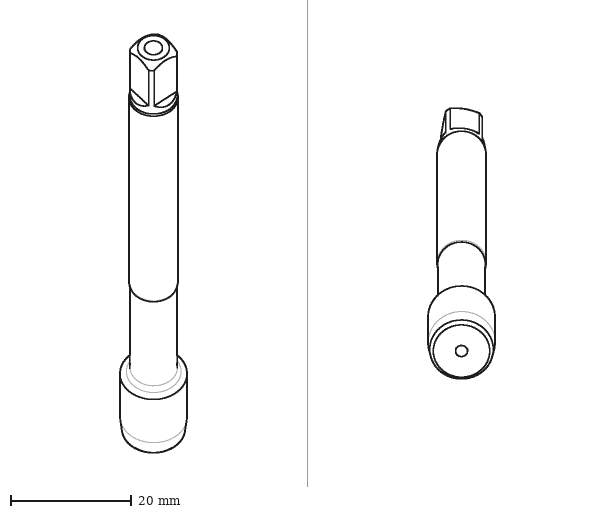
import cadquery as cq
import math

TOTAL_LENGTH = 100.0
JOINT_Z = 38.5

HEAD_DIAMETER = 11.2
LEAD_DIAMETER = 10.6
END_DIAMETER = 9.4
NECK_DIAMETER = 7.9
END_CHAMFER_HEIGHT = 0.7
LEAD_TOP_Z = 3.8
SHOULDER_Z = 15.0
SHOULDER_ANGLE = 30.0
NECK_FILLET_RADIUS = 1.2

SHANK_DIAMETER = 8.2
JOINT_CHAMFER_HEIGHT = 0.5
COLLAR_DIAMETER = 7.9
COLLAR_Z = 87.1
COLLAR_STEP_HEIGHT = 0.4
SQUARE_WIDTH = 6.2
SQUARE_Z = 89.6
FLAT_RUNOUT = 1.0
TIP_DIAMETER = 5.3
TIP_CHAMFER_HEIGHT = 1.2

BORE_DIAMETER = 2.0
SHANK_BORE_DIAMETER = 3.0


def revolve_profile(points):
    """Revolve (radius, z) points, closed along the axis, about Z."""
    bottom_z = points[0][1]
    top_z = points[-1][1]
    outline = [(0, bottom_z), *points, (0, top_z)]
    return cq.Workplane("XZ").polyline(outline).close().revolve(360, (0, 0, 0), (0, 1, 0))


def axial_bore(diameter, bottom_z, top_z):
    """Cylinder on the axis used to cut a passage."""
    return cq.Workplane("XY", origin=(0, 0, bottom_z)).circle(diameter / 2).extrude(top_z - bottom_z)


def make_head():
    """Cutting head, filleted up to its neck, with the narrow through passage."""
    head_radius = HEAD_DIAMETER / 2
    neck_radius = NECK_DIAMETER / 2
    slope = math.radians(SHOULDER_ANGLE)

    cone_end_radius = neck_radius + NECK_FILLET_RADIUS * (1 - math.sin(slope))
    cone_end_z = SHOULDER_Z + (head_radius - cone_end_radius) * math.tan(slope)
    neck_base_z = cone_end_z + NECK_FILLET_RADIUS * math.cos(slope)

    blank = (
        cq.Workplane("XZ")
        .moveTo(0, 0)
        .lineTo(END_DIAMETER / 2, 0)
        .lineTo(LEAD_DIAMETER / 2, END_CHAMFER_HEIGHT)
        .lineTo(head_radius, LEAD_TOP_Z)
        .lineTo(head_radius, SHOULDER_Z)
        .lineTo(cone_end_radius, cone_end_z)
        .radiusArc((neck_radius, neck_base_z), NECK_FILLET_RADIUS)
        .lineTo(neck_radius, JOINT_Z)
        .lineTo(0, JOINT_Z)
        .close()
        .revolve(360, (0, 0, 0), (0, 1, 0))
    )
    return blank.cut(axial_bore(BORE_DIAMETER, 0, JOINT_Z))


def drive_square():
    """Square prism whose lower end flares out to clear the round collar."""
    flare_width = SQUARE_WIDTH + 2 * FLAT_RUNOUT
    flare_base_z = SQUARE_Z - FLAT_RUNOUT
    flare = (
        cq.Workplane("XY", origin=(0, 0, flare_base_z))
        .rect(flare_width, flare_width)
        .workplane(offset=FLAT_RUNOUT)
        .rect(SQUARE_WIDTH, SQUARE_WIDTH)
        .loft(ruled=True)
    )
    prism = (
        cq.Workplane("XY", origin=(0, 0, SQUARE_Z))
        .rect(SQUARE_WIDTH, SQUARE_WIDTH)
        .extrude(TOTAL_LENGTH - SQUARE_Z)
    )
    return flare.union(prism)


def make_shank():
    """Round shank with a square drive at the top and a wider passage."""
    runout_base_z = SQUARE_Z - FLAT_RUNOUT
    body = revolve_profile([
        (NECK_DIAMETER / 2, JOINT_Z),
        (SHANK_DIAMETER / 2, JOINT_Z + JOINT_CHAMFER_HEIGHT),
        (SHANK_DIAMETER / 2, COLLAR_Z),
        (COLLAR_DIAMETER / 2, COLLAR_Z + COLLAR_STEP_HEIGHT),
        (COLLAR_DIAMETER / 2, runout_base_z),
    ])
    drive_blank = revolve_profile([
        (COLLAR_DIAMETER / 2, runout_base_z),
        (COLLAR_DIAMETER / 2, TOTAL_LENGTH - TIP_CHAMFER_HEIGHT),
        (TIP_DIAMETER / 2, TOTAL_LENGTH),
    ])
    drive = drive_blank.intersect(drive_square())
    bore = axial_bore(SHANK_BORE_DIAMETER, JOINT_Z, TOTAL_LENGTH)
    return body.union(drive).cut(bore)


head = make_head()
shank = make_shank()

result = cq.Compound.makeCompound([head.val(), shank.val()])